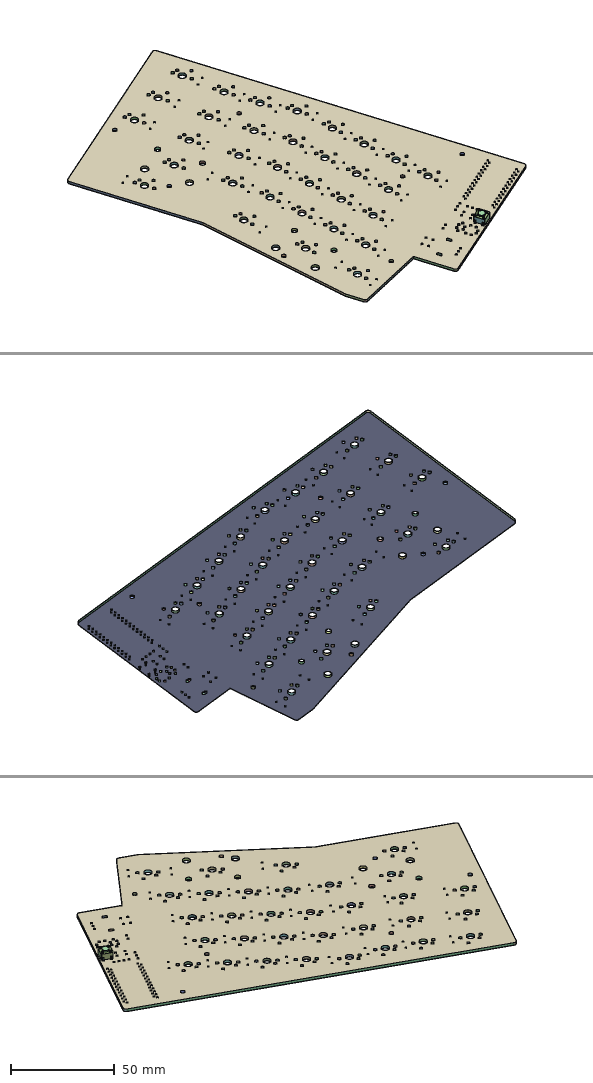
import cadquery as cq
import math


BOARD_WIDTH = 197.5
BOARD_DEPTH = 119.6
BOARD_THICKNESS = 1.6
CORNER_RADIUS = 1.5
BLOCK_TILT = 12.0
LEFT_EDGE_BOTTOM = 17.8
SLOPE_START_X = 71.9
BOTTOM_CORNER_X = 166.5
TAB_BOTTOM = 37.7
CUT_DEPTH = 2 * BOARD_THICKNESS
CUT_START = -BOARD_THICKNESS / 2

FOUR_PITCHES = 76.2
KEY_PITCH = FOUR_PITCHES / 4
STEM_HOLE = 4.0
POST_HOLE = 1.7
CONTACT_HOLE = 1.5
GRID_STEP = KEY_PITCH / 7.5
POST_OFFSET = 2 * GRID_STEP
CONTACTS = [(-1.5 * GRID_STEP, GRID_STEP), (GRID_STEP, 2 * GRID_STEP)]
DIODE_HOLE = 0.8
DIODE_HALF_SPAN = 2.5
DIODE_DX = 9.5

TOP_ROW_Y = 106.5
STAGGER = 2.2
ROW_Y = [TOP_ROW_Y - row * KEY_PITCH for row in range(5)]
WIDE_KEY = (42.6, ROW_Y[3])
UPRIGHT_KEYS = [
    (20.1, ROW_Y[0] + STAGGER, DIODE_DX),
    (43.2, ROW_Y[0], DIODE_DX),
    (43.2 + KEY_PITCH, ROW_Y[0], DIODE_DX),
    (81.0, ROW_Y[0] + STAGGER, DIODE_DX),
    (16.0, ROW_Y[1] + STAGGER, 9.9),
    (43.8, ROW_Y[1], 9.9),
    (67.7, ROW_Y[1], DIODE_DX),
    (12.0, ROW_Y[2] + STAGGER, DIODE_DX),
    (42.0, ROW_Y[2], 8.7),
    (68.3, ROW_Y[2], 9.7),
    (*WIDE_KEY, 19.0),
    (73.6, ROW_Y[3], DIODE_DX),
    (35.5, ROW_Y[4], -10.3),
]

TILT_ORIGIN = (125.4, 80.0)
TILTED_COLUMNS = 4
TILTED_ROWS = [(-1.5, 1), (-2.0, 0), (-1.75, -1), (-1.25, -2)]
WIDE_THUMB_KEY = (0.6 * KEY_PITCH, -3 * KEY_PITCH)
THUMB_KEYS = [
    (-24.5, -58.6, 11.5),
    (*WIDE_THUMB_KEY, 19.7),
    (42.5, -3 * KEY_PITCH, DIODE_DX),
]

STABILIZER_HALF_SPAN = 11.8
STABILIZER_SMALL = (3.0, 7.0)
STABILIZER_LARGE = (4.0, -8.3)

MOUNT_HOLE = 2.2
MOUNT_POINTS = [
    (166.0, 113.5), (56.0, 95.5), (146.3, 87.3), (6.3, 60.2), (46.5, 34.7), (166.0, 30.5), (117.3, 12.5),
]

SOCKET_HOLE = 0.8
SOCKET_PINS = 12
SOCKET_PITCH = GRID_STEP
SOCKET_SPACING = 6 * GRID_STEP
SOCKET_COLUMNS = [(179.0, 114.5), (180.5, 113.3)]

PIN_HOLE = 1.0
HEADER_PITCH = GRID_STEP
HEADER_POINTS = (
    [(179.3, 81.3 - i * HEADER_PITCH) for i in range(3)]
    + [(183.6 + i * HEADER_PITCH, 81.0) for i in range(4)]
    + [(x, y) for x in (183.6, 188.3) for y in (76.5, 73.8)]
    + [(179.3, 64.5), (179.3, 61.8)]
)

JACK_HOLE = 1.2
JACK_CENTRE_Y = 66.1
JACK_PAIRS = [(185.0, 1.2), (186.4, 3.0), (188.3, 1.0), (190.5, 3.0), (193.5, 3.0), (195.2, 1.0)]

ENCODER_CENTRE_Y = 50.0
ENCODER_PIN_SPAN = 5.0
ENCODER_PIN_X = 192.7
ENCODER_SWITCH_X = [174.5, 178.0]
ENCODER_SLOT_X = 185.2
ENCODER_SLOT_SPAN = 11.3
ENCODER_SLOT = (2.8, 1.5)

BUTTON_CENTRE = (193.7, 75.0)
BODY_SIZE = 6.1
BODY_HEIGHT = 3.5
BODY_CHAMFER = 0.3
CAP_DIAMETER = 3.5
CAP_HEIGHT = 0.85
RIVET_DIAMETER = 1.0
RIVET_OFFSET = 2.0
RIVET_HEIGHT = 0.5
LEG_SPACING = 4.1
LEG_WIDTH = 0.71
LEG_THICKNESS = 0.3
LEG_TOP = 1.5
LEG_BELOW = 1.9
LEG_OFFSET = (BODY_SIZE + LEG_THICKNESS) / 2
LEG_HOLE = 1.1
LEG_POINTS = [(sx * LEG_SPACING / 2, sy * LEG_OFFSET) for sx in (-1, 1) for sy in (-1, 1)]


def turned(point, angle):
    """The point turned counter-clockwise about the origin."""
    x, y = point
    c = math.cos(math.radians(angle))
    s = math.sin(math.radians(angle))
    return (c * x - s * y, s * x + c * y)


def placed(offsets, centre, angle=0.0):
    """Offsets turned by the angle and moved to the centre."""
    return [(centre[0] + x, centre[1] + y) for x, y in (turned(p, angle) for p in offsets)]


def key_places():
    """Every switch as (centre, angle, diode distance)."""
    places = [((x, y), 0.0, dx) for x, y, dx in UPRIGHT_KEYS]
    tilted = [
        ((shift + column) * KEY_PITCH, row * KEY_PITCH, DIODE_DX)
        for shift, row in TILTED_ROWS
        for column in range(TILTED_COLUMNS)
    ]
    for along, across, dx in tilted + THUMB_KEYS:
        centre = placed([(along, across)], TILT_ORIGIN, -BLOCK_TILT)[0]
        places.append((centre, -BLOCK_TILT, dx))
    return places


def board_blank():
    slope = math.tan(math.radians(BLOCK_TILT))
    lower_left = (0, LEFT_EDGE_BOTTOM)
    bottom_right = (BOTTOM_CORNER_X, 0)
    tab_corner = (BOARD_WIDTH, TAB_BOTTOM)
    upper_right = (BOARD_WIDTH, BOARD_DEPTH)
    upper_left = (0, BOARD_DEPTH)
    outline = [
        lower_left,
        (SLOPE_START_X, LEFT_EDGE_BOTTOM),
        (SLOPE_START_X + LEFT_EDGE_BOTTOM / slope, 0),
        bottom_right,
        (BOTTOM_CORNER_X + TAB_BOTTOM * slope, TAB_BOTTOM),
        tab_corner,
        upper_right,
        upper_left,
    ]
    blank = cq.Workplane("XY").polyline(outline).close().extrude(BOARD_THICKNESS)
    for x, y in (lower_left, bottom_right, tab_corner, upper_right, upper_left):
        corner = cq.selectors.NearestToPointSelector((x, y, BOARD_THICKNESS / 2))
        blank = blank.edges("|Z").edges(corner).fillet(CORNER_RADIUS)
    return blank


def hole_cutters(points, diameter):
    """One through-cutting cylinder at each point."""
    start = cq.Workplane("XY", origin=(0, 0, CUT_START))
    return start.pushPoints(points).circle(diameter / 2).extrude(CUT_DEPTH).vals()


def key_cutters():
    stems, posts, contacts, diodes = [], [], [], []
    for centre, angle, dx in key_places():
        stems.append(centre)
        posts += placed([(-POST_OFFSET, 0), (POST_OFFSET, 0)], centre, angle)
        contacts += placed(CONTACTS, centre, angle)
        diodes += placed([(dx, -DIODE_HALF_SPAN), (dx, DIODE_HALF_SPAN)], centre, angle)
    return (
        hole_cutters(stems, STEM_HOLE)
        + hole_cutters(posts, POST_HOLE)
        + hole_cutters(contacts, CONTACT_HOLE)
        + hole_cutters(diodes, DIODE_HOLE)
    )


def stabilizer_cutters():
    thumb_centre = placed([WIDE_THUMB_KEY], TILT_ORIGIN, -BLOCK_TILT)[0]
    cutters = []
    for centre, angle in ((WIDE_KEY, 0.0), (thumb_centre, -BLOCK_TILT)):
        for diameter, dy in (STABILIZER_SMALL, STABILIZER_LARGE):
            pair = [(-STABILIZER_HALF_SPAN, dy), (STABILIZER_HALF_SPAN, dy)]
            cutters += hole_cutters(placed(pair, centre, angle), diameter)
    return cutters


def controller_cutters():
    points = [
        (x + side * SOCKET_SPACING, top - i * SOCKET_PITCH)
        for x, top in SOCKET_COLUMNS
        for side in (0, 1)
        for i in range(SOCKET_PINS)
    ]
    return hole_cutters(points, SOCKET_HOLE)


def jack_cutters():
    points = [(x, JACK_CENTRE_Y + side * gap) for x, gap in JACK_PAIRS for side in (-1, 1)]
    return hole_cutters(points, JACK_HOLE)


def encoder_cutters():
    pins = [(ENCODER_PIN_X, ENCODER_CENTRE_Y + i * ENCODER_PIN_SPAN / 2) for i in (-1, 0, 1)]
    pins += [(x, ENCODER_CENTRE_Y + i * ENCODER_PIN_SPAN / 2) for x in ENCODER_SWITCH_X for i in (-1, 1)]
    slots = (
        cq.Workplane("XY", origin=(0, 0, CUT_START))
        .pushPoints([(ENCODER_SLOT_X, ENCODER_CENTRE_Y + s * ENCODER_SLOT_SPAN / 2) for s in (-1, 1)])
        .slot2D(*ENCODER_SLOT)
        .extrude(CUT_DEPTH)
    )
    return hole_cutters(pins, PIN_HOLE) + slots.vals()


def make_board():
    cutters = (
        key_cutters()
        + stabilizer_cutters()
        + controller_cutters()
        + jack_cutters()
        + encoder_cutters()
        + hole_cutters(MOUNT_POINTS, MOUNT_HOLE)
        + hole_cutters(HEADER_POINTS, PIN_HOLE)
        + hole_cutters(placed(LEG_POINTS, BUTTON_CENTRE), LEG_HOLE)
    )
    return board_blank().val().cut(*cutters)


def make_button():
    base = cq.Workplane("XY", origin=(*BUTTON_CENTRE, BOARD_THICKNESS))
    body = base.rect(BODY_SIZE, BODY_SIZE).extrude(BODY_HEIGHT).edges("|Z").chamfer(BODY_CHAMFER)
    top = base.workplane(offset=BODY_HEIGHT)
    cap = top.circle(CAP_DIAMETER / 2).extrude(CAP_HEIGHT)
    rivets = (
        top.rect(2 * RIVET_OFFSET, 2 * RIVET_OFFSET, forConstruction=True)
        .vertices()
        .circle(RIVET_DIAMETER / 2)
        .extrude(RIVET_HEIGHT)
    )
    legs = (
        base.workplane(offset=LEG_TOP)
        .pushPoints(LEG_POINTS)
        .rect(LEG_WIDTH, LEG_THICKNESS)
        .extrude(-(LEG_TOP + BOARD_THICKNESS + LEG_BELOW))
    )
    return body.union(cap).union(rivets).union(legs)


board = make_board()
button = make_button()
result = cq.Compound.makeCompound([*board.Solids(), button.val()])